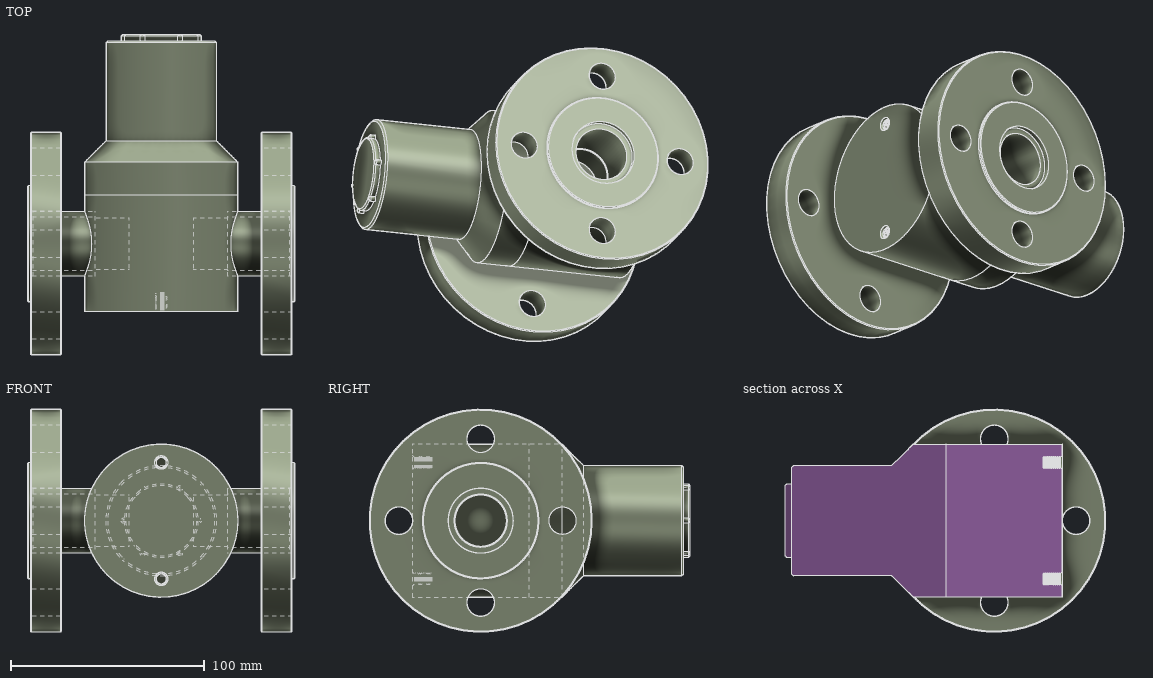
import cadquery as cq
import math


OVERALL_WIDTH = 138.0
OVERALL_LENGTH = 165.4

FLANGE_DIAMETER = 115.0
FLANGE_THICKNESS = 16.0
FLANGE_EDGE_CHAMFER = 0.5
RAISED_FACE_DIAMETER = 60.0
RAISED_FACE_HEIGHT = 1.5
FLANGE_BORE_DIAMETER = 33.5
BOLT_HOLE_DIAMETER = 14.0
BOLT_CIRCLE_DIAMETER = 84.4
BOLT_COUNT = 4

PIPE_DIAMETER = 33.4
PIPE_BORE_DIAMETER = 27.5
PIPE_END_RECESS = 3.0
PIPE_INNER_END = 34.0

HOUSING_DIAMETER = 79.0
HOUSING_FRONT = 35.0
COVER_JOINT = 25.0
PORT_DIAMETER = 26.5
PORT_FLOOR = 16.5
TAPPED_HOLE_DIAMETER = 5.1
TAPPED_HOLE_MOUTH_DIAMETER = 7.0
THREAD_ROOT_DIAMETER = 6.0
THREAD_PITCH = 1.0
THREAD_GROOVE_COUNT = 10
TAPPED_HOLE_SPACING = 60.0

NECK_DIAMETER = 57.0
CONE_START = 42.0
NECK_EDGE_CHAMFER = 1.0

KNOB_DIAMETER = 38.0
KNOB_HEIGHT = 3.3
KNOB_EDGE_CHAMFER = 0.8
GRIP_OUTER_DIAMETER = 41.4
GRIP_RIB_DIAMETER = 2.6
GRIP_RIB_COUNT = 6

END_FACE = OVERALL_WIDTH / 2
FLANGE_FRONT = END_FACE - RAISED_FACE_HEIGHT
FLANGE_BACK = FLANGE_FRONT - FLANGE_THICKNESS
PIPE_OUTER_END = END_FACE - PIPE_END_RECESS
CONE_END = CONE_START + (HOUSING_DIAMETER - NECK_DIAMETER) / 2
KNOB_TOP = OVERALL_LENGTH - FLANGE_DIAMETER / 2
NECK_TOP = KNOB_TOP - KNOB_HEIGHT
SIDES = (-1, 1)


def cylinder_x(diameter, start, end):
    """Cylinder on the flow axis between two X positions, start < end."""
    return cq.Workplane("YZ", origin=(start, 0, 0)).circle(diameter / 2).extrude(end - start)


def cylinder_y(diameter, start, end):
    """Cylinder on the stem axis between two Y positions, start < end."""
    return cq.Workplane("XZ", origin=(0, start, 0)).circle(diameter / 2).extrude(start - end)


def on_side(body, side):
    """Put a body made on the +X side on the wanted side (-1 or 1)."""
    return body if side > 0 else body.mirror("YZ")


def make_flange(side):
    """Round plate with a raised face, a bore for the pipe and a ring of bolt holes."""
    plate = cylinder_x(FLANGE_DIAMETER, FLANGE_BACK, FLANGE_FRONT).edges().chamfer(FLANGE_EDGE_CHAMFER)
    raised_face = cylinder_x(RAISED_FACE_DIAMETER, FLANGE_BACK, END_FACE)
    raised_face = raised_face.faces(">X").edges().chamfer(FLANGE_EDGE_CHAMFER)
    bore = cylinder_x(FLANGE_BORE_DIAMETER, FLANGE_BACK, END_FACE)
    bolt_holes = (
        cq.Workplane("YZ", origin=(FLANGE_BACK, 0, 0))
        .polarArray(BOLT_CIRCLE_DIAMETER / 2, 0, 360, BOLT_COUNT)
        .circle(BOLT_HOLE_DIAMETER / 2)
        .extrude(FLANGE_THICKNESS)
    )
    return on_side(plate.union(raised_face).cut(bore).cut(bolt_holes), side)


def make_pipe(side):
    """Tube from the housing seat into the flange, stopping short of the raised face."""
    tube = cylinder_x(PIPE_DIAMETER, PIPE_INNER_END, PIPE_OUTER_END)
    bore = cylinder_x(PIPE_BORE_DIAMETER, PIPE_INNER_END, PIPE_OUTER_END)
    return on_side(tube.cut(bore), side)


def make_tapped_hole_cutter(z):
    """Blind threaded hole into the front face, with a 45 degree countersunk mouth.

    The thread is a row of V-shaped ring grooves, one per pitch.
    """
    mouth_radius = TAPPED_HOLE_MOUTH_DIAMETER / 2
    crest_radius = TAPPED_HOLE_DIAMETER / 2
    root_radius = THREAD_ROOT_DIAMETER / 2
    thread_start = mouth_radius - root_radius - HOUSING_FRONT
    profile = [(0, -HOUSING_FRONT), (mouth_radius, -HOUSING_FRONT)]
    for number in range(THREAD_GROOVE_COUNT):
        groove_root = thread_start + number * THREAD_PITCH
        profile.append((root_radius, groove_root))
        profile.append((crest_radius, groove_root + THREAD_PITCH / 2))
    profile.append((0, groove_root + THREAD_PITCH / 2))
    cutter = cq.Workplane("XY").polyline(profile).close().revolve(360, (0, 0), (0, 1))
    return cutter.translate((0, 0, z))


def make_housing():
    """Cylinder with a flat-bottomed port and pipe seat on each side and threaded front holes."""
    housing = cylinder_y(HOUSING_DIAMETER, -HOUSING_FRONT, COVER_JOINT)
    for side in SIDES:
        pipe_seat = cylinder_x(PIPE_DIAMETER, PIPE_INNER_END, PIPE_OUTER_END)
        port = cylinder_x(PORT_DIAMETER, PORT_FLOOR, PIPE_INNER_END)
        housing = housing.cut(on_side(pipe_seat, side)).cut(on_side(port, side))
        housing = housing.cut(make_tapped_hole_cutter(side * TAPPED_HOLE_SPACING / 2))
    return housing


def make_cover():
    """Round cover that tapers at 45 degrees to a chamfered neck."""
    neck_radius = NECK_DIAMETER / 2
    profile = [
        (0, COVER_JOINT),
        (HOUSING_DIAMETER / 2, COVER_JOINT),
        (HOUSING_DIAMETER / 2, CONE_START),
        (neck_radius, CONE_END),
        (neck_radius, NECK_TOP - NECK_EDGE_CHAMFER),
        (neck_radius - NECK_EDGE_CHAMFER, NECK_TOP),
        (0, NECK_TOP),
    ]
    return cq.Workplane("XY").polyline(profile).close().revolve(360, (0, 0), (0, 1))


def make_knob_cylinder(diameter):
    """Cylinder as high as the knob, with its top edge chamfered."""
    return cylinder_y(diameter, NECK_TOP, KNOB_TOP).faces(">Y").edges().chamfer(KNOB_EDGE_CHAMFER)


def make_knob():
    """Low disc with round grip ribs around its edge."""
    knob = make_knob_cylinder(KNOB_DIAMETER)
    rib_circle_radius = (GRIP_OUTER_DIAMETER - GRIP_RIB_DIAMETER) / 2
    for number in range(GRIP_RIB_COUNT):
        angle = number * 2 * math.pi / GRIP_RIB_COUNT
        rib_x = rib_circle_radius * math.cos(angle)
        rib_z = rib_circle_radius * math.sin(angle)
        knob = knob.union(make_knob_cylinder(GRIP_RIB_DIAMETER).translate((rib_x, 0, rib_z)))
    return knob


housing = make_housing()
cover = make_cover()
knob = make_knob()
pipes = [make_pipe(side) for side in SIDES]
flanges = [make_flange(side) for side in SIDES]

result = cq.Compound.makeCompound(
    [
        housing.val(),
        cover.val(),
        knob.val(),
        *[pipe.val() for pipe in pipes],
        *[flange.val() for flange in flanges],
    ]
)